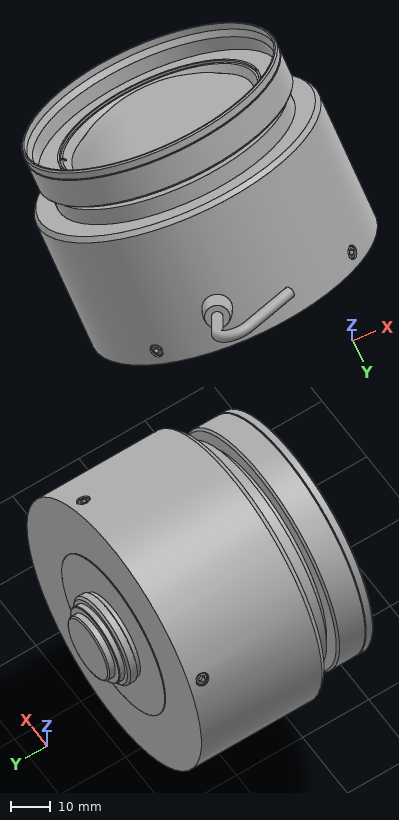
import cadquery as cq
import math


overall_height = 99.4

drum_dia = 78.0
drum_front_y = 17.2
drum_rear_y = 55.0
drum_chamfer_radial = 1.0
drum_chamfer_axial = 1.3

ring_dia = 69.6
ring_rear_y = 10.9
ring_front_chamfer = 0.4
ring_rear_chamfer = 0.6
ring_groove_y = 2.3
ring_groove_width = 0.3
ring_groove_depth = 0.1
neck_dia = 59.6
collar_dia = 65.1
collar_front_y = 12.7

mouth_dia = 68.0
mouth_end_y = 1.8
recess_dia = 66.2
recess_start_y = 3.5
recess_floor_y = 7.3

bead_outer_dia = 55.3
bead_inner_dia = 54.3
bead_height = 0.6
bezel_dia = 53.1
lens_dia = 49.7
lens_rim_y = 9.1
lens_dome_height = 8.9

notch_width = 0.7
notch_inner_radius = 25.7
notch_outer_radius = 26.8
notch_depth = 0.8

boss_dia = 46.0
boss_height = 0.3
mount_base_dia = 24.4
mount_base_end_y = 56.6
mount_flange_dia = 25.4
mount_flange_end_y = 59.1
mount_flange_chamfer = 0.6
mount_step_dia = 22.0
mount_step_end_y = 60.8
mount_step_chamfer = 0.2
mount_tip_dia = 18.4
mount_tip_end_y = 62.9
mount_tip_chamfer = 0.4

screw_count = 4
screw_first_angle = 30.0
screw_y = 51.1
screw_hole_dia = 3.6
screw_dia = 3.0
screw_hole_depth = 0.6
screw_head_height = 0.3
hex_across_flats = 1.7
hex_depth = 1.5

cable_y = 44.0
gland_dia = 7.7
gland_end_dia = 6.4
gland_shoulder_z = -40.5
gland_end_z = -44.3
gland_root_z = -35.8
cable_dia = 3.0
cable_bend_radius = 5.0
cable_bottom_z = drum_dia / 2 - overall_height
cable_bend_z = cable_bottom_z + cable_dia / 2 + cable_bend_radius
cable_bend_angle = 135.0
cable_arm_length = 15.9


def revolve_about_y(outline):
    """Revolve a closed outline, drawn with X as radius, about the Y axis."""
    return outline.close().revolve(360, (0, 0, 0), (0, 1, 0))


def make_barrel():
    """Drum, front ring, neck, lens seat and rear mount as one turned shape."""
    drum_r = drum_dia / 2
    ring_r = ring_dia / 2
    flange_r = mount_flange_dia / 2
    step_r = mount_step_dia / 2
    tip_r = mount_tip_dia / 2
    outline = [
        (0, lens_rim_y),
        (lens_dia / 2, lens_rim_y),
        (bezel_dia / 2, recess_floor_y),
        (bead_inner_dia / 2, recess_floor_y),
        (bead_inner_dia / 2, recess_floor_y - bead_height),
        (bead_outer_dia / 2, recess_floor_y - bead_height),
        (bead_outer_dia / 2, recess_floor_y),
        (recess_dia / 2, recess_floor_y),
        (recess_dia / 2, recess_start_y),
        (mouth_dia / 2, mouth_end_y),
        (mouth_dia / 2, 0),
        (ring_r - ring_front_chamfer, 0),
        (ring_r, ring_front_chamfer),
        (ring_r, ring_groove_y),
        (ring_r - ring_groove_depth, ring_groove_y),
        (ring_r - ring_groove_depth, ring_groove_y + ring_groove_width),
        (ring_r, ring_groove_y + ring_groove_width),
        (ring_r, ring_rear_y - ring_rear_chamfer),
        (ring_r - ring_rear_chamfer, ring_rear_y),
        (neck_dia / 2, ring_rear_y),
        (neck_dia / 2, collar_front_y),
        (collar_dia / 2, collar_front_y),
        (collar_dia / 2, drum_front_y),
        (drum_r - drum_chamfer_radial, drum_front_y),
        (drum_r, drum_front_y + drum_chamfer_axial),
        (drum_r, drum_rear_y),
        (boss_dia / 2, drum_rear_y),
        (boss_dia / 2, drum_rear_y + boss_height),
        (mount_base_dia / 2, drum_rear_y + boss_height),
        (mount_base_dia / 2, mount_base_end_y),
        (flange_r, mount_base_end_y),
        (flange_r, mount_flange_end_y - mount_flange_chamfer),
        (flange_r - mount_flange_chamfer, mount_flange_end_y),
        (step_r, mount_flange_end_y),
        (step_r, mount_step_end_y - mount_step_chamfer),
        (step_r - mount_step_chamfer, mount_step_end_y),
        (tip_r, mount_step_end_y),
        (tip_r, mount_tip_end_y - mount_tip_chamfer),
        (tip_r - mount_tip_chamfer, mount_tip_end_y),
        (0, mount_tip_end_y),
    ]
    return revolve_about_y(cq.Workplane("XY").polyline(outline))


def make_spanner_notches():
    """Two small radial slots in the bezel, on opposite sides."""
    notch_length = notch_outer_radius - notch_inner_radius
    mid_radius = (notch_outer_radius + notch_inner_radius) / 2
    return (
        cq.Workplane("XZ", origin=(0, recess_floor_y, 0))
        .pushPoints([(-mid_radius, 0), (mid_radius, 0)])
        .rect(notch_length, notch_width)
        .extrude(notch_depth, both=True)
    )


def add_set_screw(barrel, angle):
    """Cut a screw hole into the drum, leaving the screw end with its hex socket."""
    turn = math.radians(angle)
    direction = cq.Vector(math.sin(turn), 0, math.cos(turn))
    surface = direction * (drum_dia / 2) + cq.Vector(0, screw_y, 0)
    plane = cq.Plane(origin=surface, xDir=(0, 1, 0), normal=direction)
    gap = (
        cq.Workplane(plane)
        .workplane(offset=-screw_hole_depth)
        .circle(screw_hole_dia / 2)
        .extrude(2 * screw_hole_depth)
    )
    screw_end = (
        cq.Workplane(plane)
        .workplane(offset=-screw_hole_depth)
        .circle(screw_dia / 2)
        .extrude(screw_head_height)
    )
    socket = (
        cq.Workplane(plane)
        .polygon(6, hex_across_flats, circumscribed=True)
        .extrude(-hex_depth)
    )
    return barrel.cut(gap.cut(screw_end)).cut(socket)


def make_gland():
    """Cable gland with a rounded, tapering lower end."""
    radius = gland_dia / 2
    end_radius = gland_end_dia / 2
    outline = (
        cq.Workplane("XZ", origin=(0, cable_y, 0))
        .moveTo(0, gland_root_z)
        .lineTo(radius, gland_root_z)
        .lineTo(radius, gland_shoulder_z)
        .tangentArcPoint((end_radius, gland_end_z), relative=False)
        .lineTo(0, gland_end_z)
    )
    return outline.close().revolve(360, (0, 0, 0), (0, 1, 0))


def make_cable():
    """Round cable that drops from the gland, bends and rises at a slant."""
    bend = math.radians(cable_bend_angle)

    def bend_point(angle):
        x = cable_bend_radius * (1 - math.cos(angle))
        return (x, cable_bend_z - cable_bend_radius * math.sin(angle))

    bend_end = bend_point(bend)
    arm_end = (
        bend_end[0] + cable_arm_length * math.sin(bend),
        bend_end[1] - cable_arm_length * math.cos(bend),
    )
    path = (
        cq.Workplane("XZ", origin=(0, cable_y, 0))
        .moveTo(0, gland_end_z)
        .lineTo(0, cable_bend_z)
        .threePointArc(bend_point(bend / 2), bend_end)
        .lineTo(*arm_end)
    )
    section = cq.Workplane("XY", origin=(0, cable_y, gland_end_z)).circle(cable_dia / 2)
    return section.sweep(path)


def make_housing():
    """Barrel with its notches, set screws, gland and cable."""
    body = make_barrel().cut(make_spanner_notches())
    for index in range(screw_count):
        body = add_set_screw(body, screw_first_angle + index * 360 / screw_count)
    return body.union(make_gland()).union(make_cable())


def make_lens():
    """Plano-convex lens seated on the flat bottom of the bezel, domed to the front."""
    rim = lens_dia / 2
    sphere_radius = (rim**2 + lens_dome_height**2) / (2 * lens_dome_height)
    half_angle = math.asin(rim / sphere_radius) / 2
    centre_y = lens_rim_y - lens_dome_height + sphere_radius
    mid_point = (sphere_radius * math.sin(half_angle), centre_y - sphere_radius * math.cos(half_angle))
    outline = (
        cq.Workplane("XY")
        .moveTo(0, lens_rim_y)
        .lineTo(rim, lens_rim_y)
        .threePointArc(mid_point, (0, lens_rim_y - lens_dome_height))
    )
    return revolve_about_y(outline)


housing = make_housing()
lens = make_lens()
result = cq.Compound.makeCompound([housing.solids().val(), lens.val()])